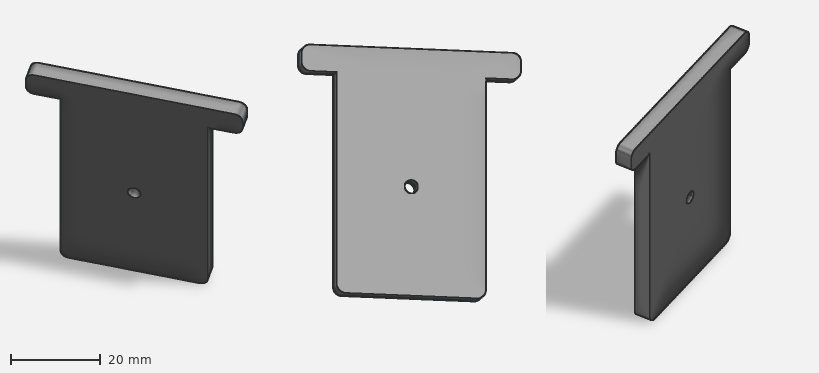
import cadquery as cq

thickness = 4.0
body_width = 34.0
body_height = 50.0
head_width = 50.0
head_height = 6.0
corner_radius = 2.0
hole_diameter = 3.0
hole_height = 24.7


def plate(width, height, bottom_z):
    """Upright rectangular plate centred on X and Y, standing on bottom_z."""
    return (
        cq.Workplane("XY")
        .box(width, thickness, height, centered=(True, True, False))
        .translate((0, 0, bottom_z))
    )


def make_body():
    """Hanging plate with its two lower corners rounded."""
    return plate(body_width, body_height, 0).faces("<Z").edges("|Y").fillet(corner_radius)


def make_head():
    """Wide crossbar on top of the body, all four corners rounded."""
    return plate(head_width, head_height, body_height).edges("|Y").fillet(corner_radius)


def make_hole():
    """Through hole along Y, slightly below mid-height of the body."""
    return (
        cq.Workplane("XZ")
        .center(0, hole_height)
        .circle(hole_diameter / 2)
        .extrude(thickness, both=True)
    )


result = make_body().union(make_head()).cut(make_hole()).clean()